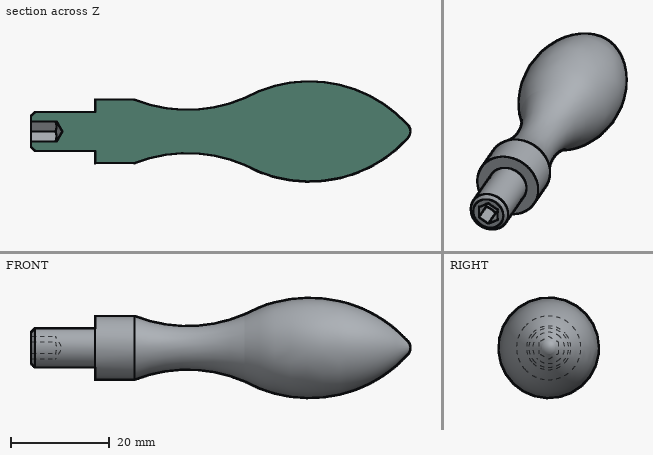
import cadquery as cq
import math


STUD_DIAMETER = 8.0
STUD_LENGTH = 13.0
STUD_CHAMFER = 0.8
COLLAR_DIAMETER = 13.0
COLLAR_LENGTH = 8.0

TOTAL_LENGTH = 77.0
NECK_DIAMETER = 8.9
NECK_LENGTH = 22.4
BULB_DIAMETER = 20.47
BULB_ARC_RADIUS = 27.0
TIP_RADIUS = 2.0

SOCKET_SIDES = 6
SOCKET_ACROSS_FLATS = 4.0
SOCKET_DEPTH = 5.0
SOCKET_CONE_ANGLE = 120.0

STUD_RADIUS = STUD_DIAMETER / 2
COLLAR_RADIUS = COLLAR_DIAMETER / 2
COLLAR_END = STUD_LENGTH + COLLAR_LENGTH
NECK_END = COLLAR_END + NECK_LENGTH

TIP_CENTRE_X = TOTAL_LENGTH - TIP_RADIUS
BULB_CENTRE_R = BULB_DIAMETER / 2 - BULB_ARC_RADIUS
CENTRE_DISTANCE = BULB_ARC_RADIUS - TIP_RADIUS
BULB_CENTRE_X = TIP_CENTRE_X - math.sqrt(CENTRE_DISTANCE**2 - BULB_CENTRE_R**2)


def bulb_radius(x):
    """Radius of the bulb at distance x along the axis."""
    return BULB_CENTRE_R + math.sqrt(BULB_ARC_RADIUS**2 - (x - BULB_CENTRE_X) ** 2)


def tip_point(angle):
    """Point on the tip sphere's profile, angle measured from the axis."""
    return TIP_CENTRE_X + TIP_RADIUS * math.cos(angle), TIP_RADIUS * math.sin(angle)


def turn_about_x(profile):
    """Full revolution of a closed half profile about the X axis."""
    return profile.revolve(360, (0, 0, 0), (1, 0, 0))


def turned_body():
    """Stud, collar, neck and bulb as one revolved profile."""
    tip_start_angle = math.atan2(-BULB_CENTRE_R, TIP_CENTRE_X - BULB_CENTRE_X)
    neck_middle = (COLLAR_END + NECK_LENGTH / 2, NECK_DIAMETER / 2)
    profile = (
        cq.Workplane("XY")
        .lineTo(0, STUD_RADIUS - STUD_CHAMFER)
        .lineTo(STUD_CHAMFER, STUD_RADIUS)
        .lineTo(STUD_LENGTH, STUD_RADIUS)
        .lineTo(STUD_LENGTH, COLLAR_RADIUS)
        .lineTo(COLLAR_END, COLLAR_RADIUS)
        .threePointArc(neck_middle, (NECK_END, bulb_radius(NECK_END)))
        .threePointArc((BULB_CENTRE_X, BULB_DIAMETER / 2), tip_point(tip_start_angle))
        .threePointArc(tip_point(tip_start_angle / 2), (TOTAL_LENGTH, 0))
        .close()
    )
    return turn_about_x(profile)


def hex_socket():
    """Hexagonal cutter, corners along Z, ending in a cone."""
    across_corners = SOCKET_ACROSS_FLATS / math.cos(math.pi / SOCKET_SIDES)
    corner_radius = across_corners / 2
    cone_depth = corner_radius / math.tan(math.radians(SOCKET_CONE_ANGLE / 2))
    prism = (
        cq.Workplane("YZ")
        .transformed(rotate=(0, 0, 90))
        .polygon(SOCKET_SIDES, across_corners)
        .extrude(SOCKET_DEPTH + cone_depth)
    )
    half_section = (
        cq.Workplane("XY")
        .lineTo(0, corner_radius)
        .lineTo(SOCKET_DEPTH, corner_radius)
        .lineTo(SOCKET_DEPTH + cone_depth, 0)
        .close()
    )
    return prism.intersect(turn_about_x(half_section))


result = turned_body().cut(hex_socket())